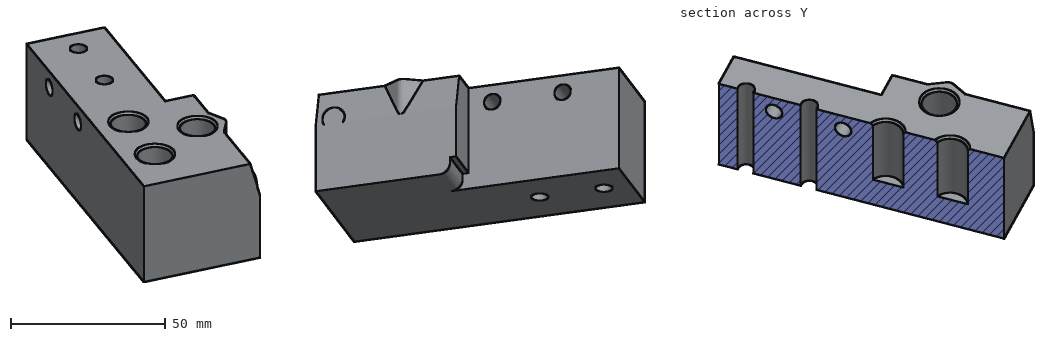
import cadquery as cq
import math

length = 99.0
depth = 40.8
height = 36.0
step_x = 51.2
step_y = 27.4

relief_run = 3.4
relief_angle = 15.0
relief_drop = relief_run / math.tan(math.radians(relief_angle))

rib_flank_angle = math.radians(30)
rib_half_width = 6.5
rib_apex_rise = rib_half_width * math.tan(rib_flank_angle)
rib_tip_radius = (rib_apex_rise - relief_run) / (1 / math.cos(rib_flank_angle) - 1)

undercut_height = 5.6
undercut_depth = 2.1
undercut_radius = 3.6

bore_diameter = 11.5
bore_chamfer = 0.8
bore_depth = 24.75
front_bore_y = 11.3
back_bore_y = 30.9
left_bore_x = 58.8
bore_pitch = 22.4
back_bore_x = left_bore_x + bore_pitch / 2
bore_centers = [
    (left_bore_x, front_bore_y),
    (left_bore_x + bore_pitch, front_bore_y),
    (back_bore_x, back_bore_y),
]

mount_diameter = 5.5
vertical_mounts_x = (9.3, 31.2)
vertical_mount_y = 14.4
cross_mounts_x = (19.2, 43.2)
cross_mount_z = 30.0

pad_diameter = 7.5
pad_x = 93.0
pad_z = 25.3


def make_block():
    outline = [(0, 0), (length, 0), (length, depth), (step_x, depth), (step_x, step_y), (0, step_y)]
    return cq.Workplane("XY").polyline(outline).close().extrude(height)


def make_rib():
    root_y = depth - relief_run
    tangent_x = rib_tip_radius * math.sin(rib_flank_angle)
    tangent_y = depth - rib_tip_radius * (1 - math.cos(rib_flank_angle))
    return (
        cq.Workplane("XY")
        .moveTo(back_bore_x - rib_half_width, root_y)
        .lineTo(back_bore_x - tangent_x, tangent_y)
        .threePointArc((back_bore_x, depth), (back_bore_x + tangent_x, tangent_y))
        .lineTo(back_bore_x + rib_half_width, root_y)
        .close()
        .extrude(height)
    )


def make_relief():
    wedge = (
        cq.Workplane("YZ", origin=(step_x, 0, 0))
        .polyline([(depth - relief_run, height), (depth, height), (depth, height - relief_drop)])
        .close()
        .extrude(length - step_x)
    )
    return wedge.cut(make_rib()).cut(make_pad())


def make_undercut():
    wall_x = step_x + undercut_depth
    arc_offset = undercut_radius * (1 - math.sqrt(0.5))
    return (
        cq.Workplane("XZ", origin=(0, depth, 0))
        .moveTo(step_x, 0)
        .lineTo(step_x, undercut_height)
        .lineTo(wall_x, undercut_height)
        .lineTo(wall_x, undercut_radius)
        .threePointArc((wall_x + arc_offset, arc_offset), (wall_x + undercut_radius, 0))
        .close()
        .extrude(depth - step_y)
    )


def make_bore(x, y):
    bore_radius = bore_diameter / 2
    rim_radius = bore_radius + bore_chamfer
    bore = cq.Solid.makeCylinder(bore_radius, bore_depth, cq.Vector(x, y, height - bore_depth))
    rim = cq.Solid.makeCone(bore_radius, rim_radius, bore_chamfer, cq.Vector(x, y, height - bore_chamfer))
    return bore.fuse(rim)


def make_mount_holes():
    vertical = (
        cq.Workplane("XY")
        .pushPoints([(x, vertical_mount_y) for x in vertical_mounts_x])
        .circle(mount_diameter / 2)
        .extrude(height)
    )
    cross = (
        cq.Workplane("XZ")
        .pushPoints([(x, cross_mount_z) for x in cross_mounts_x])
        .circle(mount_diameter / 2)
        .extrude(-step_y)
    )
    return vertical.add(cross)


def make_pad():
    return (
        cq.Workplane("XZ", origin=(0, depth, 0))
        .center(pad_x, pad_z)
        .circle(pad_diameter / 2)
        .extrude(relief_run)
    )


result = make_block().cut(make_relief()).cut(make_undercut())
for center_x, center_y in bore_centers:
    result = result.cut(make_bore(center_x, center_y))
for hole in make_mount_holes().vals():
    result = result.cut(hole)